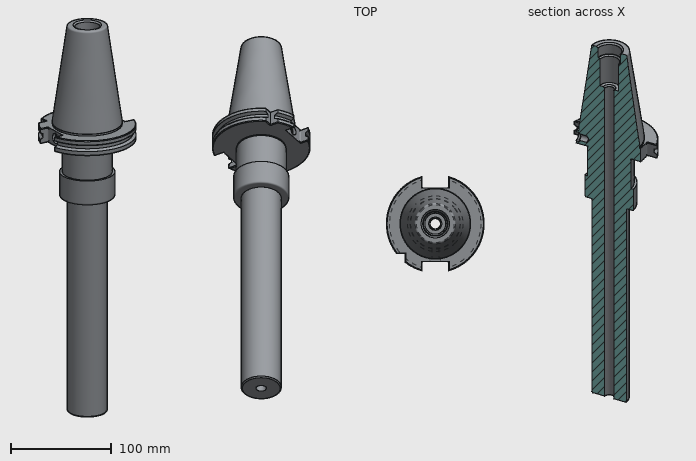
import cadquery as cq
import math

total_length = 408.5

gauge_diameter = 70.0
taper_length = 101.7
taper_ratio = 7 / 24
taper_tip_fillet = 2.0
taper_end = -1.2
undercut_depth = 0.5

flange_diameter = 97.2
flange_top = -3.3
flange_bottom = -19.0
flange_chamfer = 1.0
groove_center = -11.0
groove_mouth_width = 7.0
groove_floor_width = 3.3
groove_half_angle = math.radians(30)

slot_width = 26.0
slot_corner_radius = 1.2
front_slot_floor = 37.5
rear_slot_floor = 35.5
notch_offset_x = 30.0
notch_offset_y = 30.0

screw_hole_diameter = 7.0
screw_hole_mouth_diameter = 10.2
screw_hole_mouth_depth = 3.3
screw_hole_tip_angle = math.radians(118)
screw_hole_depth = 12.3

neck_diameter = 50.0
neck_undercut_width = 1.2
collar_diameter = 55.0
collar_top = -53.5
collar_bottom = -79.3
collar_fillet = 1.5
shank_diameter = 40.0
shank_chamfer = 1.2

bore_mouth_diameter = 28.0
pilot_diameter = 25.0
pilot_depth = 12.5
thread_mouth_diameter = 23.5
thread_diameter = 21.0
thread_depth = 45.0
seat_diameter = 13.0
through_diameter = 10.2

shank_bottom = taper_length - total_length


def make_body():
    """Revolve the half profile of the taper, flange, neck, collar and shank, then round two rims."""
    gauge_radius = gauge_diameter / 2
    taper_end_radius = gauge_radius - taper_end * taper_ratio / 2
    undercut_radius = taper_end_radius - undercut_depth
    tip_radius = gauge_radius - taper_length * taper_ratio / 2
    flange_radius = flange_diameter / 2
    neck_radius = neck_diameter / 2
    collar_radius = collar_diameter / 2
    shank_radius = shank_diameter / 2
    groove_depth = (groove_mouth_width - groove_floor_width) / 2 / math.tan(groove_half_angle)
    groove_radius = flange_radius - groove_depth
    profile = [
        (0, taper_length),
        (tip_radius, taper_length),
        (taper_end_radius, taper_end),
        (undercut_radius, taper_end),
        (undercut_radius, flange_top),
        (flange_radius, flange_top),
        (flange_radius, groove_center + groove_mouth_width / 2),
        (groove_radius, groove_center + groove_floor_width / 2),
        (groove_radius, groove_center - groove_floor_width / 2),
        (flange_radius, groove_center - groove_mouth_width / 2),
        (flange_radius, flange_bottom),
        (neck_radius - undercut_depth, flange_bottom),
        (neck_radius - undercut_depth, flange_bottom - neck_undercut_width),
        (neck_radius, flange_bottom - neck_undercut_width),
        (neck_radius, collar_top),
        (collar_radius, collar_top),
        (collar_radius, collar_bottom),
        (shank_radius, collar_bottom),
        (shank_radius, shank_bottom + shank_chamfer),
        (shank_radius - shank_chamfer, shank_bottom),
        (0, shank_bottom),
    ]
    body = cq.Workplane("XZ").polyline(profile).close().revolve(360, (0, 0), (0, 1))
    body = body.faces(">Z").edges().fillet(taper_tip_fillet)
    collar_level = cq.selectors.NearestToPointSelector((0, 0, collar_bottom))
    outermost = cq.selectors.RadiusNthSelector(-1)
    return body.faces("|Z").faces(collar_level).edges(outermost).fillet(collar_fillet)


def flange_cutter(outline):
    """Extrude an XY outline through the full thickness of the flange."""
    thickness = flange_top - flange_bottom
    base = cq.Workplane("XY").workplane(offset=flange_bottom)
    return base.polyline(outline).close().extrude(thickness)


def driving_slot(floor, side):
    """Driving slot open towards +Y (side = 1) or -Y (side = -1)."""
    reach = side * flange_diameter
    half = slot_width / 2
    return flange_cutter([
        (-half, side * floor),
        (half, side * floor),
        (half, reach),
        (-half, reach),
    ])


def orientation_notch():
    """Square-cornered notch at the -X, -Y side of the flange."""
    reach = flange_diameter
    return flange_cutter([
        (-notch_offset_x, -notch_offset_y),
        (-reach, -notch_offset_y),
        (-reach, -reach),
        (-notch_offset_x, -reach),
    ])


def screw_hole():
    """Radial drilled hole with a counterbored mouth in the front slot floor."""
    radius = screw_hole_diameter / 2
    mouth_radius = screw_hole_mouth_diameter / 2
    mouth = -front_slot_floor
    bottom = mouth + screw_hole_depth
    tip_depth = radius / math.tan(screw_hole_tip_angle / 2)
    profile = [
        (0, mouth),
        (mouth_radius, mouth),
        (mouth_radius, mouth + screw_hole_mouth_depth),
        (radius, mouth + screw_hole_mouth_depth),
        (radius, bottom),
        (0, bottom + tip_depth),
    ]
    hole = cq.Workplane("XY").polyline(profile).close().revolve(360, (0, 0), (0, 1))
    return hole.translate((0, 0, groove_center))


def stepped_bore():
    """Coaxial bore: countersunk pilot, thread core, conical seat and through hole."""
    mouth_radius = bore_mouth_diameter / 2
    pilot_radius = pilot_diameter / 2
    thread_mouth_radius = thread_mouth_diameter / 2
    thread_radius = thread_diameter / 2
    seat_radius = seat_diameter / 2
    through_radius = through_diameter / 2
    thread_end = taper_length - thread_depth
    profile = [
        (0, taper_length),
        (mouth_radius, taper_length),
        (pilot_radius, taper_length - (mouth_radius - pilot_radius)),
        (pilot_radius, taper_length - pilot_depth),
        (thread_mouth_radius, taper_length - pilot_depth),
        (thread_radius, taper_length - pilot_depth - (thread_mouth_radius - thread_radius)),
        (thread_radius, thread_end),
        (seat_radius, thread_end),
        (through_radius, thread_end - (seat_radius - through_radius)),
        (through_radius, shank_bottom),
        (0, shank_bottom),
    ]
    return cq.Workplane("XZ").polyline(profile).close().revolve(360, (0, 0), (0, 1))


def is_slot_floor(edge):
    """Tell whether an edge of the flange outline is the straight floor of a driving slot."""
    return edge.geomType() == "LINE" and abs(edge.Center().x) < slot_width / 4


def break_flange_rims(part):
    """Chamfer the rim, slot walls and notch on both flat faces of the flange, but not the slot floors."""
    for height in (flange_top, flange_bottom):
        level = cq.selectors.NearestToPointSelector((0, 0, height))
        face = part.faces("|Z").faces(level).val()
        outline = [edge for edge in face.outerWire().Edges() if not is_slot_floor(edge)]
        part = part.newObject(outline).chamfer(flange_chamfer)
    return part


def round_slot_corners(part):
    """Fillet the inner corners between the slot floors and their walls."""
    half = slot_width / 2
    corners = []
    for floor in (-front_slot_floor, rear_slot_floor):
        for x in (-half, half):
            corner = (x, floor, (flange_top + flange_bottom) / 2)
            corners += part.edges("|Z").edges(cq.selectors.NearestToPointSelector(corner)).vals()
    return part.newObject(corners).fillet(slot_corner_radius)


slotted_body = (
    make_body()
    .cut(driving_slot(front_slot_floor, -1))
    .cut(driving_slot(rear_slot_floor, 1))
    .cut(orientation_notch())
)
finished_body = round_slot_corners(break_flange_rims(slotted_body))
result = (
    finished_body
    .cut(screw_hole())
    .cut(stepped_bore())
)